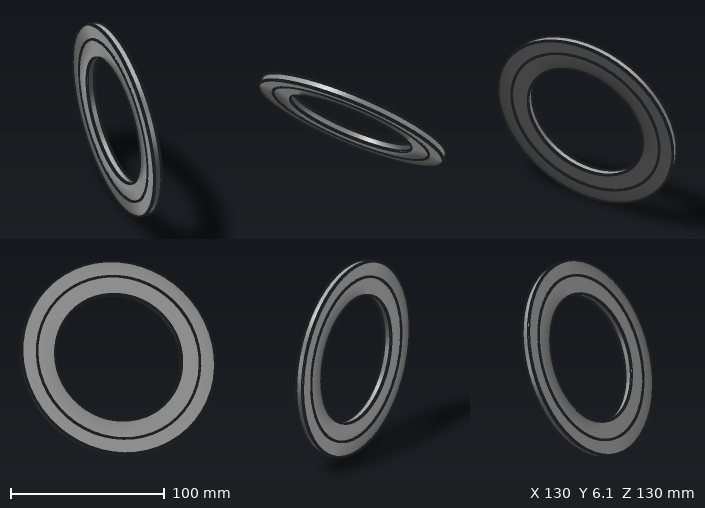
import cadquery as cq

outer_diameter = 130.0
joint_diameter = 110.0
bore_diameter = 85.0
thickness = 6.1
chamfer_width = 0.36
chamfer_depth = 1.0
groove_width = 0.5
groove_depth = 0.8

outer_radius = outer_diameter / 2
joint_radius = joint_diameter / 2
bore_radius = bore_diameter / 2
half_thickness = thickness / 2
straight_half = half_thickness - chamfer_depth
groove_floor = half_thickness - groove_depth


def revolved_ring(half_profile):
    """Ring about Y from the (y, radius) points on its +Y half, ordered from bore to rim."""
    mirrored = [(-y, radius) for y, radius in reversed(half_profile)]
    outline = cq.Workplane("YZ").polyline(half_profile + mirrored).close()
    return outline.revolve(360, (0, 0, 0), (1, 0, 0))


inner_ring = revolved_ring([
    (straight_half, bore_radius),
    (half_thickness, bore_radius + chamfer_width),
    (half_thickness, joint_radius - groove_width),
    (groove_floor, joint_radius - groove_width),
    (groove_floor, joint_radius),
])

outer_ring = revolved_ring([
    (half_thickness, joint_radius),
    (half_thickness, outer_radius - chamfer_width),
    (straight_half, outer_radius),
])

result = cq.Compound.makeCompound([inner_ring.val(), outer_ring.val()])